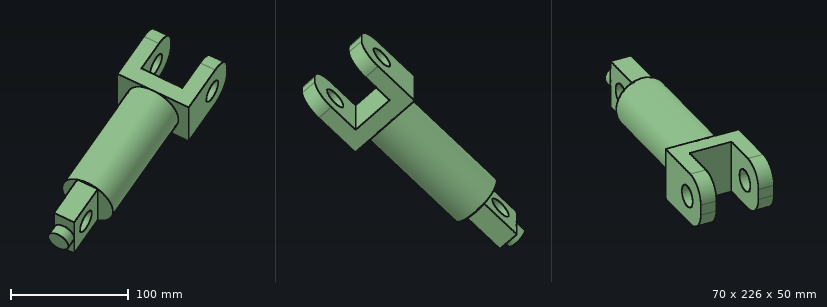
import cadquery as cq
import math

total_length = 226.0
fork_width = 70.0
rod_diameter = 50.0
fork_length = 65.0
slot_width = 40.0
tongue_length = 40.0
pin_length = 10.0

fork_height = rod_diameter
slot_depth = rod_diameter
rod_length = total_length - fork_length - tongue_length - pin_length
bore_diameter = tongue_length / 2
corner_radius = bore_diameter
tongue_width = bore_diameter
pin_diameter = tongue_width
tongue_height = math.sqrt(rod_diameter**2 - tongue_width**2)

tongue_start = pin_length
rod_start = tongue_start + tongue_length
fork_start = rod_start + rod_length
tongue_bore_y = tongue_start + tongue_length / 2
fork_bore_y = total_length - fork_height / 2


def block(width, length, height, start):
    """Box centred on the rod axis, extending in +Y from start."""
    return cq.Workplane("XY").box(width, length, height, centered=(True, False, True)).translate((0, start, 0))


def cylinder_along_y(diameter, length, start):
    return cq.Workplane("XZ", origin=(0, start, 0)).circle(diameter / 2).extrude(-length)


def cross_bore(y):
    """Cutter along X through the full width of the part."""
    return cq.Workplane("YZ").center(y, 0).circle(bore_diameter / 2).extrude(fork_width, both=True)


fork = block(fork_width, fork_length, fork_height, fork_start)
fork = fork.faces(">Y").edges("|X").fillet(corner_radius)
fork = fork.cut(block(slot_width, slot_depth, fork_height, total_length - slot_depth))

rod = cylinder_along_y(rod_diameter, rod_length, rod_start)
tongue = block(tongue_width, tongue_length, tongue_height, tongue_start)
pin = cylinder_along_y(pin_diameter, pin_length, 0)
result = fork.union(rod).union(tongue).union(pin)

for bore_y in (fork_bore_y, tongue_bore_y):
    result = result.cut(cross_bore(bore_y))